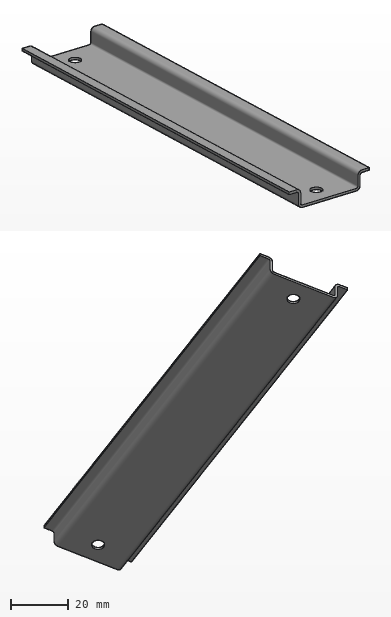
import cadquery as cq

length = 155.0
overall_width = 35.0
height = 7.5
thickness = 1.0
channel_width = 27.0
inner_bend_radius = 0.8
outer_bend_radius = inner_bend_radius + thickness
hole_diameter = 4.5
hole_spacing = 140.0

half_width = overall_width / 2
wall_outer = channel_width / 2
wall_inner = wall_outer - thickness
flange_underside = height - thickness

right_side = [
    (wall_outer, 0),
    (wall_outer, flange_underside),
    (half_width, flange_underside),
    (half_width, height),
    (wall_inner, height),
    (wall_inner, thickness),
]
left_side = [(-y, z) for y, z in reversed(right_side)]
rail = cq.Workplane("YZ").polyline(right_side + left_side).close().extrude(length / 2, both=True)


def round_bends(body, corners, radius):
    """Round the lengthwise edges at the given corners, on both sides of the rail."""
    reach = thickness / 4
    for y, z in corners:
        for side in (-1, 1):
            selector = cq.selectors.BoxSelector(
                (-reach, side * y - reach, z - reach),
                (reach, side * y + reach, z + reach),
            )
            body = body.edges("|X").edges(selector).fillet(radius)
    return body


rail = round_bends(rail, [(wall_outer, flange_underside), (wall_inner, thickness)], inner_bend_radius)
rail = round_bends(rail, [(wall_outer, 0), (wall_inner, height)], outer_bend_radius)

result = (
    rail.faces("<Z")
    .workplane(origin=(0, 0, 0))
    .rarray(hole_spacing, 1.5, 2, 1)
    .hole(hole_diameter)
)